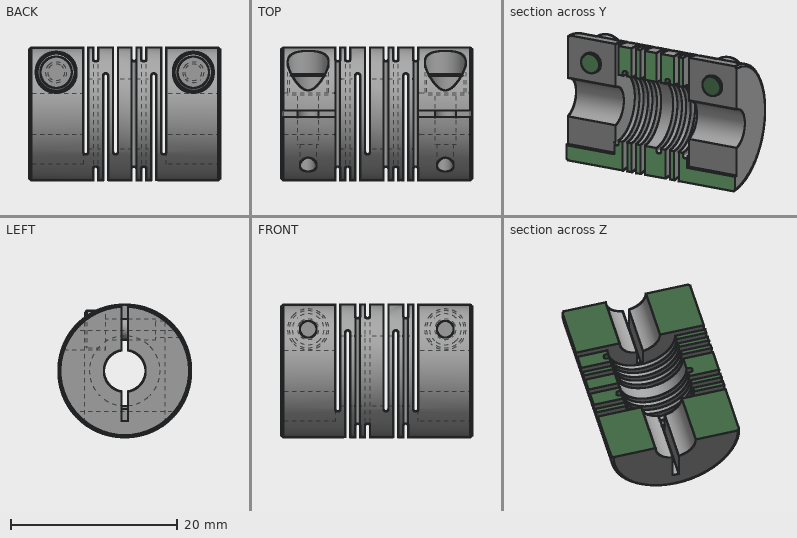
import cadquery as cq


length = 23.0
outer_diameter = 16.0
end_chamfer = 0.25
bore_diameter = 5.0
relief_diameter = 8.46

slit_width = 0.58
slit_pitch = 1.2
inner_slit_offset = 1.1
slit_floor_offset = 4.88
slit_angles = [0, 180, -90, 90, 0, 180, -90, 0]

clamp_slot_width = 0.75
clamp_slot_floor = -6.03

screw_x = 8.25
screw_z = 5.01
shank_diameter = 2.53
shank_length = 6.0
head_diameter = 4.5
head_length = 2.5
head_end_y = 4.8
head_chamfer_length = 0.25
head_chamfer_depth = 0.37
pocket_diameter = 4.95
tap_hole_diameter = 2.02

outer_radius = outer_diameter / 2
slits_per_side = len(slit_angles) // 2
outer_slit_offset = inner_slit_offset + (slits_per_side - 1) * slit_pitch
outer_slit_face = outer_slit_offset + slit_width / 2
slit_offsets = [inner_slit_offset + i * slit_pitch for i in range(slits_per_side)]
slit_positions = [-x for x in reversed(slit_offsets)] + slit_offsets
head_seat_y = head_end_y - head_length
shank_end_y = head_seat_y - shank_length


def turned_body():
    """Chamfered cylinder along X with a bore at each end and a wider relief between the outer slits."""
    half_length = length / 2
    bore_radius = bore_diameter / 2
    relief_radius = relief_diameter / 2
    profile = (
        cq.Workplane("XZ")
        .moveTo(-half_length, bore_radius)
        .lineTo(-half_length, outer_radius - end_chamfer)
        .lineTo(-half_length + end_chamfer, outer_radius)
        .lineTo(half_length - end_chamfer, outer_radius)
        .lineTo(half_length, outer_radius - end_chamfer)
        .lineTo(half_length, bore_radius)
        .lineTo(outer_slit_face, bore_radius)
        .lineTo(outer_slit_face, relief_radius)
        .lineTo(-outer_slit_face, relief_radius)
        .lineTo(-outer_slit_face, bore_radius)
        .close()
    )
    return profile.revolve(360, (0, 0, 0), (1, 0, 0))


def y_cylinder(x, diameter, y_start, y_end):
    """Cylinder along Y on the axis of the screw at x."""
    radius = diameter / 2
    return (
        cq.Workplane("XY", origin=(x, 0, screw_z))
        .moveTo(0, y_start)
        .lineTo(radius, y_start)
        .lineTo(radius, y_end)
        .lineTo(0, y_end)
        .close()
        .revolve(360, (0, 0, 0), (0, 1, 0))
    )


def flexure_slit(x, angle):
    """Slit with a full-round floor that leaves only a segment of the ring opposite its entry."""
    half_width = slit_width / 2
    return (
        cq.Workplane("XZ")
        .moveTo(x - half_width, outer_radius)
        .lineTo(x - half_width, half_width - slit_floor_offset)
        .threePointArc((x, -slit_floor_offset), (x + half_width, half_width - slit_floor_offset))
        .lineTo(x + half_width, outer_radius)
        .close()
        .extrude(outer_radius, both=True)
        .rotate((0, 0, 0), (1, 0, 0), -angle)
    )


def clamp_slot(side):
    """Slot from the top of one hub through its bore, from the end to the nearest slit."""
    slot_length = length / 2 - outer_slit_face
    centre_x = side * (length / 2 + outer_slit_face) / 2
    height = outer_radius - clamp_slot_floor
    return (
        cq.Workplane("XY", origin=(centre_x, 0, clamp_slot_floor))
        .box(slot_length, clamp_slot_width, height, centered=(True, True, False))
    )


def screw_hole(x):
    """Head pocket, shank hole and smaller tapped hole on one axis."""
    pocket = y_cylinder(x, pocket_diameter, outer_radius, head_seat_y)
    shank_hole = y_cylinder(x, shank_diameter, head_seat_y, shank_end_y)
    tap_hole = y_cylinder(x, tap_hole_diameter, shank_end_y, -outer_radius)
    return pocket.union(shank_hole).union(tap_hole)


def make_coupling():
    """One-piece clamp coupling with its flexure slits, clamp slots and screw holes."""
    coupling = turned_body()
    for x, angle in zip(slit_positions, slit_angles):
        coupling = coupling.cut(flexure_slit(x, angle))
    for side in (-1, 1):
        coupling = coupling.cut(clamp_slot(side))
        coupling = coupling.cut(screw_hole(side * screw_x))
    return coupling


def make_clamp_screw(x):
    """Cap screw whose head is bevelled at its +Y end."""
    head = (
        y_cylinder(x, head_diameter, head_end_y, head_seat_y)
        .faces(">Y")
        .chamfer(head_chamfer_depth, head_chamfer_length)
    )
    return head.union(y_cylinder(x, shank_diameter, head_seat_y, shank_end_y))


coupling = make_coupling()
clamp_screws = [make_clamp_screw(side * screw_x) for side in (-1, 1)]

result = cq.Compound.makeCompound([coupling.val(), *[screw.val() for screw in clamp_screws]])